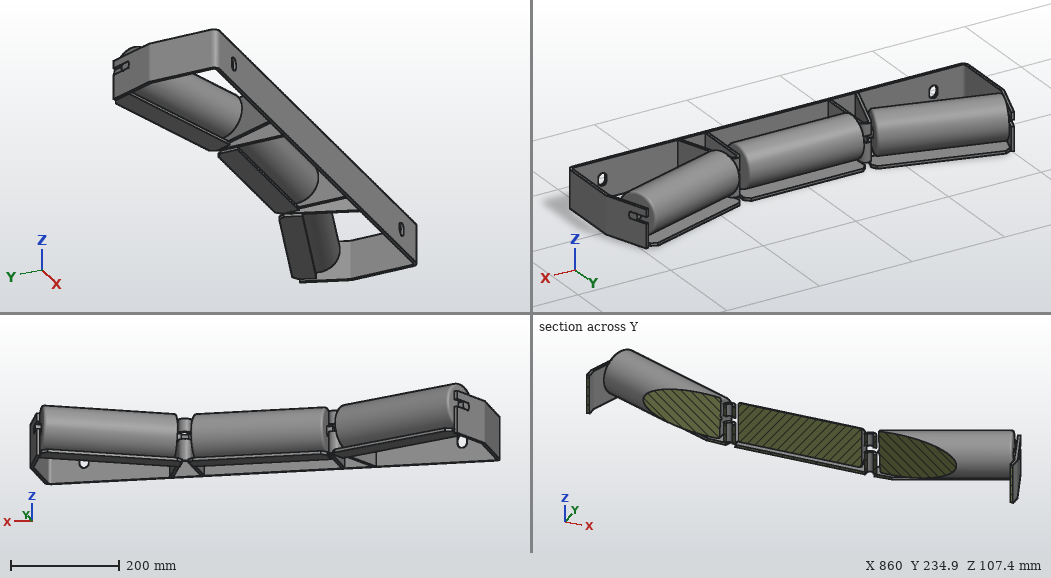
import cadquery as cq
import math

sheet = 6.0
frame_length = 860.0
frame_height = 80.0
frame_end_y = 227.5
inner_bend_radius = sheet
outer_bend_radius = inner_bend_radius + sheet

slot_spacing = 715.0
slot_width = 18.0
slot_height = 26.0

roller_diameter = 89.0
roller_length = 250.0
roller_edge_radius = 5.0
shaft_diameter = 20.0
shaft_flats = 14.0
support_gap = 260.0
flats_clearance = 2.0

trough_angle = 20.0
pitch_angle = 2.0
centre_seat = (0, 101.5, 48.0)
side_seat = (-280.3, 151.8, 52.7)

plate_length = 262.0
plate_width = 44.0
plate_thickness = 6.0
plate_drop = 54.0
plate_chamfer = 10.0
side_plate_shift = 5.0

half_gap = support_gap / 2
shaft_length = support_gap + 2 * sheet
half_frame = frame_length / 2
sin_trough = math.sin(math.radians(trough_angle))
cos_trough = math.cos(math.radians(trough_angle))
side_seat_x, side_seat_y, _ = side_seat


def at_left_seat(body):
    """Moves a body built around the origin, axis along X, to the left roller's place."""
    pitched = body.rotate((0, 0, 0), (0, 1, 0), pitch_angle)
    return pitched.rotate((0, 0, 0), (0, 0, 1), -trough_angle).translate(side_seat)


def at_centre_seat(body):
    return body.translate(centre_seat)


def mirrored(body):
    """The right-hand twin of a left-hand body."""
    return body.mirror("YZ")


def on_left_cross_plane(distance, y):
    """Point at y on the upright plane square to the left roller, `distance` inward of its middle."""
    x = side_seat_x + (distance + (y - side_seat_y) * sin_trough) / cos_trough
    return (x, y)


def make_roller():
    shell = cq.Workplane("YZ").circle(roller_diameter / 2).extrude(roller_length)
    shell = shell.translate((-roller_length / 2, 0, 0)).faces("<X or >X").edges().fillet(roller_edge_radius)
    shaft = cq.Workplane("YZ").circle(shaft_diameter / 2).extrude(shaft_length)
    roller = shell.union(shaft.translate((-shaft_length / 2, 0, 0)))

    flats_length = (shaft_length - support_gap) / 2 + flats_clearance
    waste = shaft_diameter
    cutter = cq.Workplane("XY").box(flats_length, shaft_diameter, waste)
    for end in (-1, 1):
        for side in (-1, 1):
            x = end * (shaft_length - flats_length) / 2
            z = side * (shaft_flats + waste) / 2
            roller = roller.cut(cutter.translate((x, 0, z)))
    return roller


def make_shaft_slot():
    """Cutter for the open slots behind a shaft: round bottom on the shaft, open toward +Y."""
    length = shaft_length + 2 * sheet
    depth = roller_diameter
    bottom = cq.Workplane("YZ").circle(shaft_diameter / 2).extrude(length / 2, both=True)
    opening = cq.Workplane("XY").box(length, depth, shaft_flats).translate((0, depth / 2, 0))
    between_flats = cq.Workplane("XY").box(length, shaft_diameter, shaft_flats)
    return bottom.intersect(between_flats).union(opening)


def make_plate():
    plate = cq.Workplane("XY").box(
        plate_length, plate_width, plate_thickness, centered=(True, False, False)
    )
    return plate.edges("|Z and >Y").chamfer(plate_chamfer).translate((0, 0, -plate_drop))


def make_frame():
    """Strip bent around the front, the two ends and in toward the outer roller ends."""
    outer_distance = -half_gap - sheet
    inset = (side_seat_x + half_frame) * cos_trough + outer_distance
    bend_y = side_seat_y - inset / sin_trough
    inner_bend_y = bend_y - sheet * math.tan(math.radians(trough_angle / 2))
    tip_x, tip_y = on_left_cross_plane(outer_distance, frame_end_y)
    inner_x = half_frame - sheet
    left = [
        (-half_frame, 0),
        (-half_frame, bend_y),
        (tip_x, tip_y),
        (tip_x + sheet * cos_trough, tip_y - sheet * sin_trough),
        (-inner_x, inner_bend_y),
        (-inner_x, sheet),
    ]
    right = [(-x, y) for x, y in reversed(left)]
    frame = cq.Workplane("XY").polyline(left + right).close().extrude(frame_height)

    bends = [
        (half_frame, 0, outer_bend_radius),
        (half_frame, bend_y, outer_bend_radius),
        (inner_x, inner_bend_y, inner_bend_radius),
        (inner_x, sheet, inner_bend_radius),
    ]
    for x, y, radius in bends:
        for corner_x in (-x, x):
            corner = cq.selectors.NearestToPointSelector((corner_x, y, frame_height / 2))
            frame = frame.edges("|Z").edges(corner).fillet(radius)

    mounting_slots = (
        cq.Workplane("XZ", origin=(0, 0, frame_height / 2))
        .pushPoints([(-slot_spacing / 2, 0), (slot_spacing / 2, 0)])
        .slot2D(slot_height, slot_width, 90)
        .extrude(-sheet)
    )
    return frame.cut(mounting_slots)


def make_left_bracket():
    """Sheet folded into a narrow arch: a slanted leg for the left roller, a straight one for the centre."""
    bend_x = -half_gap - outer_bend_radius
    bend_distance = half_gap + outer_bend_radius
    bend_y = side_seat_y + ((bend_x - side_seat_x) * cos_trough - bend_distance) / sin_trough
    crown_angle = math.radians((180 - trough_angle) / 2)

    def arch(radius):
        return (
            cq.Workplane("XY")
            .moveTo(bend_x + radius, sheet)
            .lineTo(bend_x + radius, bend_y)
            .threePointArc(
                (bend_x + radius * math.cos(crown_angle), bend_y + radius * math.sin(crown_angle)),
                (bend_x - radius * cos_trough, bend_y + radius * sin_trough),
            )
            .lineTo(*on_left_cross_plane(bend_distance - radius, sheet))
            .close()
            .extrude(frame_height)
        )

    return arch(outer_bend_radius).cut(arch(inner_bend_radius))


shaft_slot = make_shaft_slot()
left_slot = at_left_seat(shaft_slot)
centre_slot = at_centre_seat(shaft_slot)

frame = make_frame().cut(left_slot).cut(mirrored(left_slot))
left_bracket = make_left_bracket().cut(left_slot).cut(centre_slot)
brackets = [left_bracket, mirrored(left_bracket)]

roller = make_roller()
left_roller = at_left_seat(roller)
rollers = [left_roller, at_centre_seat(roller), mirrored(left_roller)]

plate = make_plate()
left_plate = at_left_seat(plate.translate((side_plate_shift, 0, 0)))
plates = [left_plate, at_centre_seat(plate), mirrored(left_plate)]

bodies = [frame] + brackets + rollers + plates
result = cq.Compound.makeCompound([solid for body in bodies for solid in body.solids().vals()])